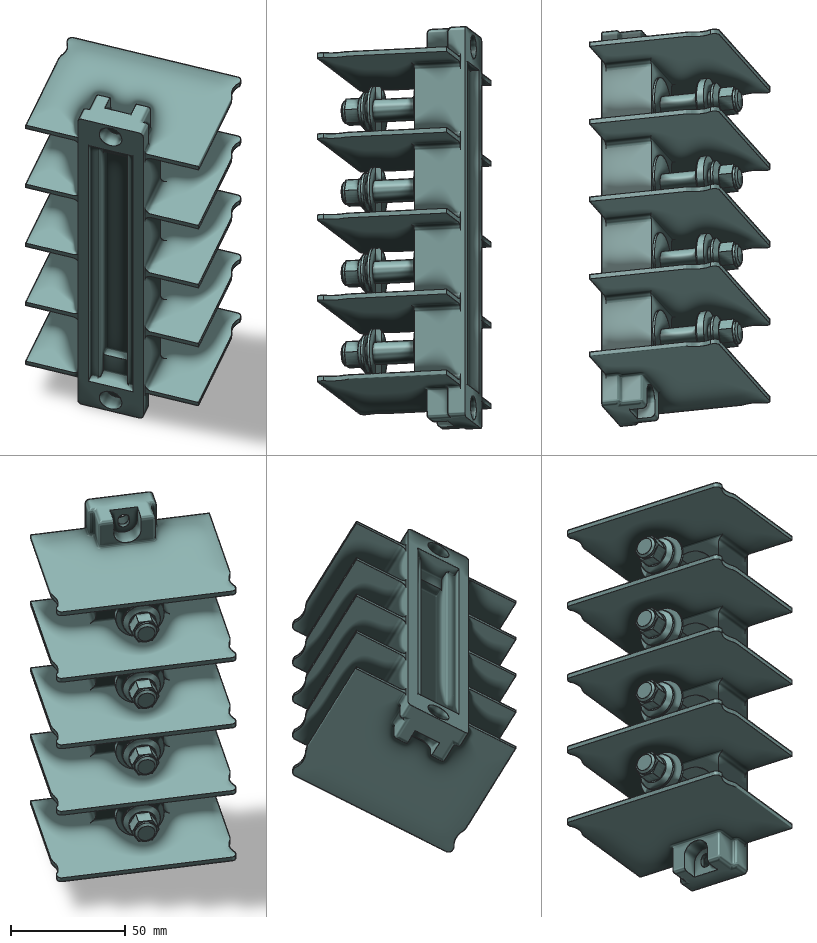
import cadquery as cq
import math


LENGTH = 174.2
BODY_WIDTH = 30.3
BODY_DEPTH = 22.8
END_WIDTH = 25.3
END_DEPTH = 18.0
SHOULDER_DEPTH = 8.0
END_CORNER_RADIUS = 1.0
SHOULDER_RADIUS = 1.0
END_RIM_RADIUS = 2.1

PLATE_COUNT = 5
PLATE_PITCH = 36.0
PLATE_THICKNESS = 2.1
PLATE_WIDTH = 80.0
PLATE_START = 2.1
PLATE_TOP = 60.8
PLATE_CORNER_RADIUS = 2.1
BEAD_LENGTH = 3.3
NECK_LENGTH = 9.0
NECK_FLARE = 0.5
NECK_END = 46.3
NECK_INSET = 1.5
BAY_SIDE_FILLET = 3.0
BAY_BACK_FILLET = 0.9
END_FILLET = 1.4
PLATE_EDGE_RADIUS = 0.3

POCKET_WIDTH = 20.5
POCKET_LENGTH = 144.0
SHELF_DEPTH = 3.8
CHANNEL_WIDTH = 12.4
CHANNEL_DEPTH = 12.4
BLOCK_LENGTH = 10.0
BLOCK_DEPTH = 8.4
SHELF_FLOOR_RADIUS = 0.5
CHANNEL_FLOOR_RADIUS = 0.7
CHANNEL_LIP_RADIUS = 0.9

HOLE_Z = 80.5
SLOT_WIDTH = 5.0
SLOT_LENGTH = 6.6
FRONT_BORE_DIAMETER = 10.5
FRONT_BORE_DEPTH = 7.8
NOTCH_WIDTH = 12.2
NOTCH_FLOOR = 10.0

BOSS_DIAMETER = 26.5
BOSS_HEIGHT = 0.9
STUD_DIAMETER = 10.0
STUD_TIP_DIAMETER = 7.7
STUD_TIP_LENGTH = 0.9
STUD_TOP = 58.7
NUT_ACROSS_FLATS = 10.6
NUT_TOP = 56.8
NUT_BAND_WIDTH = 1.4
FLANGE_DIAMETER = 16.7
FLANGE_BOTTOM = 47.7
FLANGE_RIM = 1.0
CONE_TOP_DIAMETER = 12.2
CONE_HEIGHT = 2.0
WASHER_DIAMETER = 21.6
WASHER_TOP = 45.3
WASHER_THICKNESS = 1.0
HALF_WASHER_THICKNESS = 1.4
HALF_WASHER_CHAMFER = 0.7

SIDES = (-1, 1)
FACING_Y = cq.Plane(origin=(0, 0, 0), xDir=(-1, 0, 0), normal=(0, 1, 0))
end_plate_z = (PLATE_COUNT - 1) / 2 * PLATE_PITCH
plate_levels = [i * PLATE_PITCH - end_plate_z for i in range(PLATE_COUNT)]
stud_levels = [z + PLATE_PITCH / 2 for z in plate_levels[:-1]]
boss_top = BODY_DEPTH + BOSS_HEIGHT
TOUCH = 0.02


def block(width, y_start, y_end, length, z_center=0.0):
    """A box centred on X = 0."""
    middle = (0, (y_start + y_end) / 2, z_center)
    return cq.Workplane("XY").box(width, y_end - y_start, length).translate(middle)


def disc(diameter, y_start, y_end, z_center):
    """A cylinder along Y."""
    face = cq.Workplane(FACING_Y).workplane(offset=y_start).center(0, z_center)
    return face.circle(diameter / 2).extrude(y_end - y_start)


def edges_near(shape, test):
    """The edges of shape whose bounding box passes the test."""
    return shape.newObject([e for e in shape.edges().vals() if test(e.BoundingBox())])


def plate(z_center):
    """A barrier plate with a bead and a shallow neck near its free corners."""
    half = PLATE_WIDTH / 2
    bead_start = PLATE_TOP - BEAD_LENGTH
    neck_bottom = bead_start - NECK_LENGTH
    neck_middle = (bead_start + neck_bottom) / 2
    diagonal = PLATE_CORNER_RADIUS * (1 - math.sqrt(0.5))
    corner = PLATE_TOP - PLATE_CORNER_RADIUS
    outline = (
        cq.Workplane("XY")
        .moveTo(0, PLATE_START)
        .lineTo(half, PLATE_START)
        .lineTo(half, NECK_END)
        .lineTo(half - NECK_FLARE, neck_bottom)
        .threePointArc((half - NECK_INSET, neck_middle), (half, bead_start))
        .lineTo(half, corner)
        .threePointArc((half - diagonal, PLATE_TOP - diagonal), (half - PLATE_CORNER_RADIUS, PLATE_TOP))
        .lineTo(0, PLATE_TOP)
        .close()
    )
    right_half = outline.extrude(PLATE_THICKNESS).translate((0, 0, z_center - PLATE_THICKNESS / 2))
    return right_half.union(right_half.mirror("YZ"))


def rounded_bar(width, depth):
    """A full-length bar with rounded end rims and rounded rear corners; the mounting face stays sharp."""
    bar = block(width, 0, depth, LENGTH)
    bar = bar.faces("<Z or >Z").edges("not <Y").fillet(END_RIM_RADIUS)
    return edges_near(bar, lambda b: b.zlen > LENGTH / 2 and b.ymin > TOUCH).fillet(END_CORNER_RADIUS)


def end_bar():
    """A full-length bar with the stepped section of the end blocks and filleted inner shoulders."""
    base = rounded_bar(BODY_WIDTH, SHOULDER_DEPTH)
    bar = base.union(rounded_bar(END_WIDTH, END_DEPTH))

    def shoulder_edge(b):
        on_wall = abs(abs(b.xmin) - END_WIDTH / 2) < TOUCH
        return on_wall and abs(b.ymin - SHOULDER_DEPTH) < TOUCH and b.zlen > LENGTH / 2

    return edges_near(bar, shoulder_edge).fillet(SHOULDER_RADIUS)


def raised_body():
    """The housing beyond the plinth: end blocks, thick middle and barrier plates, with fillets."""
    half_width = BODY_WIDTH / 2
    middle = block(BODY_WIDTH, PLATE_START, BODY_DEPTH, 2 * end_plate_z)
    body = end_bar().intersect(block(BODY_WIDTH, PLATE_START, END_DEPTH, LENGTH)).union(middle)
    for z in plate_levels:
        body = body.union(plate(z))

    inner_faces = end_plate_z - PLATE_THICKNESS / 2
    outer_faces = end_plate_z + PLATE_THICKNESS / 2

    def bay_side_edge(b):
        on_side = abs(abs(b.xmin) - half_width) < TOUCH and b.xlen < TOUCH
        flat = b.zlen < TOUCH and abs(b.zmax) <= inner_faces + TOUCH
        return on_side and flat and b.ymax > PLATE_START + TOUCH

    def bay_back_edge(b):
        on_back = abs(b.ymin - BODY_DEPTH) < TOUCH and b.ylen < TOUCH
        flat = b.zlen < TOUCH and abs(b.zmax) <= inner_faces + TOUCH
        return on_back and flat and b.xlen > END_WIDTH

    def end_edge(b):
        inside = b.xmax <= half_width + TOUCH and b.xmin >= -half_width - TOUCH
        flat = b.zlen < TOUCH and abs(abs(b.zmax) - outer_faces) < TOUCH
        return inside and flat and b.ymax > PLATE_START + TOUCH

    def plate_side_edge(b):
        outside = abs(abs(b.xmax) - PLATE_WIDTH / 2) < TOUCH and b.xlen < TOUCH
        flat = b.zlen < TOUCH and abs(abs(b.zmax) - outer_faces) < TOUCH
        return outside and flat and b.ymax < NECK_END + TOUCH

    body = edges_near(body, bay_side_edge).fillet(BAY_SIDE_FILLET)
    body = edges_near(body, bay_back_edge).fillet(BAY_BACK_FILLET)
    body = edges_near(body, end_edge).fillet(END_FILLET)
    return edges_near(body, plate_side_edge).fillet(PLATE_EDGE_RADIUS)


def channel_lip():
    """The mouth of the channel, with rounded long edges where it leaves the shelf."""
    half = CHANNEL_WIDTH / 2
    radius = CHANNEL_LIP_RADIUS
    bend = radius * (1 - math.sqrt(0.5))
    lip_end = SHELF_DEPTH + radius
    section = (
        cq.Workplane("XY")
        .moveTo(-half - radius, 0)
        .lineTo(half + radius, 0)
        .lineTo(half + radius, SHELF_DEPTH)
        .threePointArc((half + bend, SHELF_DEPTH + bend), (half, lip_end))
        .lineTo(-half, lip_end)
        .threePointArc((-half - bend, SHELF_DEPTH + bend), (-half - radius, SHELF_DEPTH))
        .close()
    )
    return section.extrude(POCKET_LENGTH / 2, both=True)


def pocket():
    """The stepped pocket: a wide shelf, a deep channel and a shallower block at each channel end."""
    shelf = block(POCKET_WIDTH, 0, SHELF_DEPTH, POCKET_LENGTH).edges(">Y").fillet(SHELF_FLOOR_RADIUS)
    over_blocks = block(CHANNEL_WIDTH, 0, BLOCK_DEPTH, POCKET_LENGTH)
    over_blocks = over_blocks.edges(">Y and |X").fillet(CHANNEL_FLOOR_RADIUS)
    channel_length = POCKET_LENGTH - 2 * BLOCK_LENGTH
    channel = block(CHANNEL_WIDTH, 0, CHANNEL_DEPTH, channel_length).edges("|Y").fillet(CHANNEL_LIP_RADIUS)
    channel = channel.edges(">Y").fillet(CHANNEL_FLOOR_RADIUS)
    return shelf.union(channel_lip()).union(over_blocks).union(channel)


def mounting_hole(side):
    """A through slot with a round bore in the mounting face and an open notch behind."""
    z = side * HOLE_Z
    face = cq.Workplane(FACING_Y).center(0, z)
    slot = face.slot2D(SLOT_LENGTH, SLOT_WIDTH, 90).extrude(END_DEPTH)
    bore = disc(FRONT_BORE_DIAMETER, 0, FRONT_BORE_DEPTH, z)
    notch = disc(NOTCH_WIDTH, NOTCH_FLOOR, END_DEPTH, z)
    notch_opening = block(NOTCH_WIDTH, NOTCH_FLOOR, END_DEPTH, NOTCH_WIDTH, z + side * NOTCH_WIDTH / 2)
    return slot.union(bore).union(notch).union(notch_opening)


def make_housing():
    """The insulating housing with its barrier plates."""
    plinth = end_bar().intersect(block(BODY_WIDTH, 0, PLATE_START, LENGTH))
    housing = raised_body().union(plinth).cut(pocket())
    for side in SIDES:
        housing = housing.cut(mounting_hole(side))
    for z in stud_levels:
        housing = housing.union(disc(BOSS_DIAMETER, BODY_DEPTH - BOSS_HEIGHT, boss_top, z))
    return housing


def half_disc(y_start, y_end, z_center):
    """The +X half of a washer-sized disc."""
    half_space = block(WASHER_DIAMETER, y_start, y_end, WASHER_DIAMETER, z_center)
    return disc(WASHER_DIAMETER, y_start, y_end, z_center).intersect(
        half_space.translate((WASHER_DIAMETER / 2, 0, 0))
    )


def make_stud(z):
    """A threaded stud that carries a flanged hexagon nut, a washer and two half washers."""
    shaft = disc(STUD_DIAMETER, boss_top, STUD_TOP, z)
    tip_inset = (STUD_DIAMETER - STUD_TIP_DIAMETER) / 2
    shaft = shaft.faces(">Y").edges().chamfer(STUD_TIP_LENGTH, tip_inset)

    nut_corner_diameter = NUT_ACROSS_FLATS / math.cos(math.pi / 6)
    face = cq.Workplane(FACING_Y).workplane(offset=FLANGE_BOTTOM).center(0, z)
    hexagon = face.polygon(6, nut_corner_diameter)
    nut = hexagon.extrude(NUT_TOP - FLANGE_BOTTOM)
    core_diameter = math.hypot(NUT_ACROSS_FLATS, NUT_BAND_WIDTH)
    core = disc(core_diameter, FLANGE_BOTTOM, NUT_TOP, z)

    rim_top = FLANGE_BOTTOM + FLANGE_RIM
    rim = disc(FLANGE_DIAMETER, FLANGE_BOTTOM, rim_top, z)
    cone_inset = (FLANGE_DIAMETER - CONE_TOP_DIAMETER) / 2
    cone = disc(FLANGE_DIAMETER, rim_top, rim_top + CONE_HEIGHT, z)
    cone = cone.faces(">Y").edges().chamfer(CONE_HEIGHT - TOUCH, cone_inset)

    washer_bottom = WASHER_TOP - WASHER_THICKNESS
    washer = disc(WASHER_DIAMETER, washer_bottom, WASHER_TOP, z)
    upper_half = half_disc(washer_bottom - HALF_WASHER_THICKNESS, washer_bottom, z)
    lower_half = half_disc(washer_bottom - 2 * HALF_WASHER_THICKNESS, washer_bottom - HALF_WASHER_THICKNESS, z)
    lower_half = lower_half.faces("<Y").edges("%CIRCLE").chamfer(HALF_WASHER_CHAMFER)

    stud = shaft
    for piece in (nut, core, rim, cone, washer, upper_half, lower_half):
        stud = stud.union(piece, clean=False)
    return stud


housing = make_housing()
studs = [make_stud(z) for z in stud_levels]

result = cq.Compound.makeCompound([housing.val(), *[stud.val() for stud in studs]])